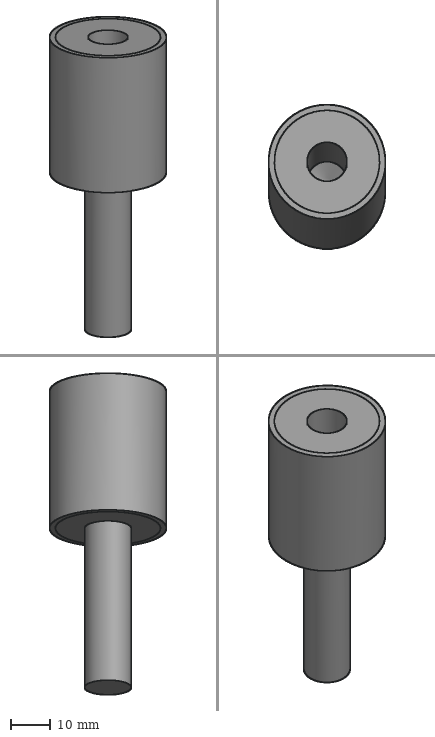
import cadquery as cq
import math

total_length = 80.0
head_length = 37.0
head_diameter = 30.0
core_diameter = 27.0
shank_diameter = 12.0

hole_diameter = 10.2
hole_depth = 24.0
drill_point_angle = 118.0

shank_length = total_length - head_length


def make_sleeve():
    """Thin tube around the core, over the full length of the head."""
    return (
        cq.Workplane("XY")
        .workplane(offset=shank_length)
        .circle(head_diameter / 2)
        .circle(core_diameter / 2)
        .extrude(head_length)
    )


def make_drill_cutter():
    """Drill shape: a cylinder ending in a conical point."""
    radius = hole_diameter / 2
    point_length = radius / math.tan(math.radians(drill_point_angle / 2))
    shoulder_z = total_length - hole_depth
    return (
        cq.Workplane("XZ")
        .moveTo(0, total_length)
        .lineTo(radius, total_length)
        .lineTo(radius, shoulder_z)
        .lineTo(0, shoulder_z - point_length)
        .close()
        .revolve(360, (0, 0), (0, 1))
    )


def make_core():
    """Shank and the solid centre of the head, drilled from the top."""
    shank = cq.Workplane("XY").circle(shank_diameter / 2).extrude(shank_length)
    centre = (
        cq.Workplane("XY")
        .workplane(offset=shank_length)
        .circle(core_diameter / 2)
        .extrude(head_length)
    )
    return shank.union(centre).cut(make_drill_cutter())


sleeve = make_sleeve()
core = make_core()

result = cq.Compound.makeCompound([sleeve.val(), core.val()])